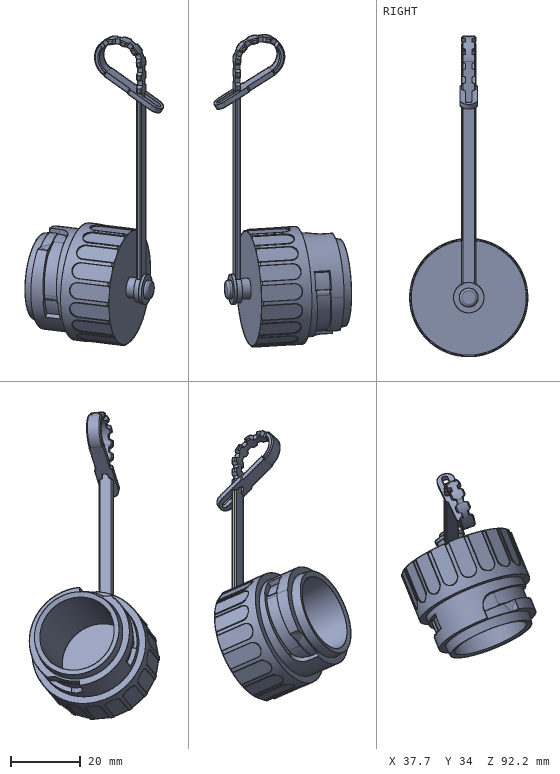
import cadquery as cq
import math

OVERLAP = 1.8

LIP_END = 2.8
BODY_END = 12.7
GRIP_END = 27.5
LIP_MOUTH_DIA = 25.3
LIP_DIA = 26.0
BODY_DIA = 30.0
GRIP_DIA = 34.0
BORE_DIA = 22.2
MOUTH_BEVEL_DEPTH = 0.4
BORE_DEPTH = 24.0
GRIP_CHAMFER = 0.5

FLUTE_COUNT = 18
FLUTE_WIDTH = 4.7
FLUTE_START = 15.4
FLUTE_DEPTH = 0.5

TRACK_COUNT = 2
TRACK_FLOOR_RADIUS = 13.5
TRACK_WIDTH = 4.15
TRACK_PITCH = 5.5
TRACK_TOP_ANGLE = 90.0
TRACK_TOP_X = 7.3
TRACK_CORNER_LENGTH = 4.2
HUMP_RADIUS = 14.0
HUMP_RISE_ANGLE = 70.0
HUMP_ROOT = 0.55
HUMP_TOP_Z = -0.55
HUMP_BOTTOM_Z = -2.0
POCKET_FRONT_X = 6.5
POCKET_BACK_X = 11.1
POCKET_END_ANGLE = -30.3

ENTRY_END = 5.8
ENTRY_WIDTH = 9.6
ENTRY_FLOOR_RADIUS = 13.65
RAMP_RISE = 0.5

CUT_RADIUS = BODY_DIA / 2 + OVERLAP
HUMP_FOOT_ANGLE = math.degrees(math.asin(HUMP_BOTTOM_Z / TRACK_FLOOR_RADIUS))

PIN_DIA = 6.0
HEAD_DIA = 5.4
HEAD_END = 34.2
HEAD_ROUNDING = 0.7

STRAP_INNER_X = 30.25
STRAP_THICKNESS = 1.6
STRAP_OUTER_X = STRAP_INNER_X + STRAP_THICKNESS
STRAP_WIDTH = 4.15
STRAP_EDGE = 0.4
EYE_DIA = 8.0
COLLAR_DIA = 8.8
COLLAR_THICKNESS = 0.9

TOTAL_HEIGHT = 92.2
TOP_Z = TOTAL_HEIGHT - GRIP_DIA / 2
BIG_ARC_RADIUS = 7.3
SMALL_ARC_RADIUS = 6.1
LOOP_FLAT = 1.2
BIG_ARC_X = STRAP_OUTER_X - BIG_ARC_RADIUS
BIG_ARC_Z = TOP_Z - BIG_ARC_RADIUS
SMALL_ARC_X = BIG_ARC_X - LOOP_FLAT
SMALL_ARC_Z = TOP_Z - SMALL_ARC_RADIUS

TAIL_ANGLE = 30.0
TAIL_TIP_X = 37.7
TAIL_WIDTH = 5.2
TAIL_WIDE_START_X = 27.85
TAIL_SLOT_WIDTH = 1.8
TAIL_SLOT_START_X = 29.5
TAIL_SLOT_END_X = 36.5

NECK_WIDTH = 1.8
NOTCH_PITCH = 4.0
NOTCH_LENGTH = 2.7
NOTCH_FLANK = 0.6
FIRST_NOTCH_Z = 58.65
NOTCH_COUNT = 7


def x_cylinder(x_start, x_end, diameter):
    return cq.Workplane("YZ", origin=(x_start, 0, 0)).circle(diameter / 2).extrude(x_end - x_start)


def turn_about_x(solid, index, count):
    return solid.rotate((0, 0, 0), (1, 0, 0), index * 360 / count)


def make_cap():
    half_section = [
        (0, 0),
        (0, LIP_MOUTH_DIA / 2),
        (LIP_END, LIP_DIA / 2),
        (LIP_END, BODY_DIA / 2),
        (BODY_END, BODY_DIA / 2),
        (BODY_END, GRIP_DIA / 2),
        (GRIP_END - GRIP_CHAMFER, GRIP_DIA / 2),
        (GRIP_END, GRIP_DIA / 2 - GRIP_CHAMFER),
        (GRIP_END, 0),
    ]
    cap = cq.Workplane("XY").polyline(half_section).close().revolve(360, (0, 0, 0), (1, 0, 0))
    half_bore = [
        (0, 0),
        (0, LIP_MOUTH_DIA / 2),
        (MOUTH_BEVEL_DEPTH, BORE_DIA / 2),
        (BORE_DEPTH, BORE_DIA / 2),
        (BORE_DEPTH, 0),
    ]
    return cap.cut(cq.Workplane("XY").polyline(half_bore).close().revolve(360, (0, 0, 0), (1, 0, 0)))


def make_flute():
    end_radius = FLUTE_WIDTH / 2
    floor_z = GRIP_DIA / 2 - FLUTE_DEPTH
    return (
        cq.Workplane("XY", origin=(0, 0, floor_z))
        .moveTo(GRIP_END + OVERLAP, end_radius)
        .lineTo(FLUTE_START + end_radius, end_radius)
        .threePointArc((FLUTE_START, 0), (FLUTE_START + end_radius, -end_radius))
        .lineTo(GRIP_END + OVERLAP, -end_radius)
        .close()
        .extrude(OVERLAP)
    )


def make_helix_run():
    """Cutter for the sloping channel, from the top of the cap down the -Y side to the hump."""
    sweep_angle = TRACK_TOP_ANGLE - HUMP_FOOT_ANGLE
    rise = TRACK_PITCH * sweep_angle / 360
    helix = cq.Wire.makeHelix(TRACK_PITCH, rise, TRACK_FLOOR_RADIUS)
    run = (
        cq.Workplane("XZ")
        .center((TRACK_FLOOR_RADIUS + CUT_RADIUS) / 2, 0)
        .rect(CUT_RADIUS - TRACK_FLOOR_RADIUS, TRACK_WIDTH)
        .sweep(cq.Workplane(helix), isFrenet=True)
    )
    run = run.rotate((0, 0, 0), (0, 1, 0), 90)
    run = run.rotate((0, 0, 0), (1, 0, 0), 270 - TRACK_TOP_ANGLE)
    return run.translate((TRACK_TOP_X, 0, 0))


def make_corner():
    """Material kept beyond the rounded corner where the mouth turns into the channel."""
    corner_angle = math.degrees(math.asin(TRACK_CORNER_LENGTH / (BODY_DIA / 2)))
    corner_rise = TRACK_PITCH * corner_angle / 360
    corner_x = TRACK_TOP_X + corner_rise + TRACK_WIDTH / 2
    mid_x = ENTRY_END + (corner_x - ENTRY_END) * math.sqrt(0.5)
    mid_y = -TRACK_CORNER_LENGTH * (1 - math.sqrt(0.5))
    return (
        cq.Workplane("XY")
        .moveTo(ENTRY_END, 0)
        .threePointArc((mid_x, mid_y), (corner_x, -TRACK_CORNER_LENGTH))
        .lineTo(BODY_END, -TRACK_CORNER_LENGTH)
        .lineTo(BODY_END, OVERLAP)
        .lineTo(0, OVERLAP)
        .lineTo(0, 0)
        .close()
        .extrude(GRIP_DIA / 2)
    )


def make_entry():
    """Cutter for the mouth: a round floor with a flat ramp rising towards the channel."""
    side_z = math.sqrt((BODY_DIA / 2) ** 2 - ENTRY_WIDTH**2)
    mouth = cq.Workplane("XY", origin=(LIP_END, -ENTRY_WIDTH, side_z)).box(
        ENTRY_END - LIP_END, ENTRY_WIDTH, GRIP_DIA / 2 - side_z, centered=False
    )
    ramp_low = [
        (0, 0),
        (0, ENTRY_FLOOR_RADIUS - RAMP_RISE),
        (-ENTRY_WIDTH, side_z - RAMP_RISE),
        (-ENTRY_WIDTH, 0),
    ]
    ramp_high = [(0, 0), (0, ENTRY_FLOOR_RADIUS), (-ENTRY_WIDTH, side_z), (-ENTRY_WIDTH, 0)]
    ramp = (
        cq.Workplane("YZ", origin=(LIP_END, 0, 0))
        .polyline(ramp_low)
        .close()
        .workplane(offset=ENTRY_END - LIP_END)
        .polyline(ramp_high)
        .close()
        .loft(ruled=True)
    )
    return mouth.cut(x_cylinder(0, BODY_END, 2 * ENTRY_FLOOR_RADIUS)).cut(ramp)


def make_pocket():
    """Cutter for the straight-sided pocket between the hump and the end of the track."""
    ring_part = (
        cq.Workplane("XY")
        .moveTo(POCKET_FRONT_X, -TRACK_FLOOR_RADIUS)
        .lineTo(POCKET_FRONT_X, -CUT_RADIUS)
        .lineTo(POCKET_BACK_X, -CUT_RADIUS)
        .lineTo(POCKET_BACK_X, -TRACK_FLOOR_RADIUS)
        .close()
        .revolve(HUMP_FOOT_ANGLE - POCKET_END_ANGLE, (0, 0, 0), (1, 0, 0))
    )
    return ring_part.rotate((0, 0, 0), (1, 0, 0), -HUMP_FOOT_ANGLE)


def side_point(radius, angle):
    """(y, z) at an angle measured up from the -Y side."""
    turn = math.radians(angle)
    return (-radius * math.cos(turn), radius * math.sin(turn))


def make_hump():
    """Floor that climbs slowly along the channel and rolls off into the pocket."""
    mid_radius = (TRACK_FLOOR_RADIUS + HUMP_RADIUS) / 2
    root_radius = TRACK_FLOOR_RADIUS - HUMP_ROOT
    crest = (-HUMP_RADIUS, HUMP_TOP_Z)
    foot = (-TRACK_FLOOR_RADIUS, HUMP_BOTTOM_Z)
    roll_middle = (
        crest[0] + (foot[0] - crest[0]) * (1 - math.sqrt(0.5)),
        crest[1] + (foot[1] - crest[1]) * math.sqrt(0.5),
    )
    return (
        cq.Workplane("YZ", origin=(ENTRY_END, 0, 0))
        .moveTo(*side_point(TRACK_FLOOR_RADIUS, HUMP_RISE_ANGLE))
        .threePointArc(side_point(mid_radius, HUMP_RISE_ANGLE / 2), crest)
        .threePointArc(roll_middle, foot)
        .lineTo(-root_radius, HUMP_BOTTOM_Z)
        .threePointArc(
            side_point(root_radius, HUMP_RISE_ANGLE / 2),
            side_point(root_radius, HUMP_RISE_ANGLE),
        )
        .close()
        .extrude(BODY_END - ENTRY_END)
    )


def make_pin():
    shaft = x_cylinder(GRIP_END - OVERLAP, STRAP_INNER_X + STRAP_THICKNESS / 2, PIN_DIA)
    head = x_cylinder(STRAP_INNER_X, HEAD_END, HEAD_DIA).faces(">X").edges().fillet(HEAD_ROUNDING)
    return shaft.union(head)


def make_eye():
    eye = x_cylinder(STRAP_INNER_X, STRAP_OUTER_X, EYE_DIA)
    return eye.union(x_cylinder(STRAP_OUTER_X, STRAP_OUTER_X + COLLAR_THICKNESS, COLLAR_DIA))


def arc_point(center_x, center_z, radius, angle):
    turn = math.radians(angle)
    return (center_x + radius * math.cos(turn), center_z + radius * math.sin(turn))


def extrude_both_ways(profile, width):
    return profile.extrude(width / 2, both=True)


TAIL_NORMAL_ANGLE = 270 - TAIL_ANGLE
TAIL_TOP = arc_point(
    SMALL_ARC_X, SMALL_ARC_Z, SMALL_ARC_RADIUS - STRAP_THICKNESS / 2, TAIL_NORMAL_ANGLE
)


def tail_length_to(x):
    """Distance along the tail from where it leaves the loop to the given x."""
    return (x - TAIL_TOP[0]) / math.cos(math.radians(TAIL_ANGLE))


def tail_plane():
    """Plane along the middle of the tail: local x runs to the tip, local y across."""
    slope = math.radians(TAIL_ANGLE)
    return cq.Plane(
        origin=(TAIL_TOP[0], 0, TAIL_TOP[1]),
        xDir=(math.cos(slope), 0, -math.sin(slope)),
        normal=(math.sin(slope), 0, math.cos(slope)),
    )


def make_band():
    """Straight strap and loop, up to where the tail begins."""
    small_inner = SMALL_ARC_RADIUS - STRAP_THICKNESS
    big_inner = BIG_ARC_RADIUS - STRAP_THICKNESS
    side_angle = (90 + TAIL_NORMAL_ANGLE) / 2
    profile = (
        cq.Workplane("XZ")
        .moveTo(STRAP_INNER_X, 0)
        .lineTo(STRAP_OUTER_X, 0)
        .lineTo(STRAP_OUTER_X, BIG_ARC_Z)
        .threePointArc(arc_point(BIG_ARC_X, BIG_ARC_Z, BIG_ARC_RADIUS, 45), (BIG_ARC_X, TOP_Z))
        .lineTo(SMALL_ARC_X, TOP_Z)
        .threePointArc(
            arc_point(SMALL_ARC_X, SMALL_ARC_Z, SMALL_ARC_RADIUS, side_angle),
            arc_point(SMALL_ARC_X, SMALL_ARC_Z, SMALL_ARC_RADIUS, TAIL_NORMAL_ANGLE),
        )
        .lineTo(*arc_point(SMALL_ARC_X, SMALL_ARC_Z, small_inner, TAIL_NORMAL_ANGLE))
        .threePointArc(
            arc_point(SMALL_ARC_X, SMALL_ARC_Z, small_inner, side_angle),
            (SMALL_ARC_X, TOP_Z - STRAP_THICKNESS),
        )
        .lineTo(BIG_ARC_X, TOP_Z - STRAP_THICKNESS)
        .threePointArc(arc_point(BIG_ARC_X, BIG_ARC_Z, big_inner, 45), (STRAP_INNER_X, BIG_ARC_Z))
        .close()
    )
    band = extrude_both_ways(profile, STRAP_WIDTH)
    return band.faces("<Y or >Y").edges().chamfer(STRAP_EDGE)


def make_tail():
    """Flat tail; its upper end corner is the point that reaches TAIL_TIP_X."""
    slope = math.radians(TAIL_ANGLE)
    tip = tail_length_to(TAIL_TIP_X - STRAP_THICKNESS / 2 * math.sin(slope))
    wide_start = tail_length_to(TAIL_WIDE_START_X)
    half_wide = TAIL_WIDTH / 2
    half_strap = STRAP_WIDTH / 2
    flare = half_wide - half_strap
    outline = (
        cq.Workplane(tail_plane())
        .moveTo(0, half_strap)
        .lineTo(wide_start, half_strap)
        .lineTo(wide_start + flare, half_wide)
        .lineTo(tip - half_wide, half_wide)
        .threePointArc((tip, 0), (tip - half_wide, -half_wide))
        .lineTo(wide_start + flare, -half_wide)
        .lineTo(wide_start, -half_strap)
        .lineTo(0, -half_strap)
        .close()
    )
    return extrude_both_ways(outline, STRAP_THICKNESS)


def make_tail_slot():
    start = tail_length_to(TAIL_SLOT_START_X)
    end = tail_length_to(TAIL_SLOT_END_X)
    return extrude_both_ways(
        cq.Workplane(tail_plane()).center((start + end) / 2, 0).slot2D(end - start, TAIL_SLOT_WIDTH),
        2 * STRAP_THICKNESS,
    )


def loop_frame(distance):
    """Point, and outward angle, at a distance along the strap's middle measured up from z = 0."""
    mid_big = BIG_ARC_RADIUS - STRAP_THICKNESS / 2
    mid_small = SMALL_ARC_RADIUS - STRAP_THICKNESS / 2
    if distance <= BIG_ARC_Z:
        return (BIG_ARC_X + mid_big, distance), 0
    along = distance - BIG_ARC_Z
    quarter = mid_big * math.pi / 2
    if along <= quarter:
        angle = math.degrees(along / mid_big)
        return arc_point(BIG_ARC_X, BIG_ARC_Z, mid_big, angle), angle
    along -= quarter
    if along <= LOOP_FLAT:
        return (BIG_ARC_X - along, BIG_ARC_Z + mid_big), 90
    angle = 90 + math.degrees((along - LOOP_FLAT) / mid_small)
    return arc_point(SMALL_ARC_X, SMALL_ARC_Z, mid_small, angle), angle


def make_notch_pair(distance):
    """Cutter with sloping flanks for the two opposite strap edges."""
    point, angle = loop_frame(distance)
    turn = math.radians(angle)
    plane = cq.Plane(
        origin=(point[0], 0, point[1]), xDir=(0, 1, 0), normal=(math.cos(turn), 0, math.sin(turn))
    )
    half_neck = NECK_WIDTH / 2
    half_strap = STRAP_WIDTH / 2
    half_mouth = NOTCH_LENGTH / 2
    half_root = half_mouth - NOTCH_FLANK
    one_side = extrude_both_ways(
        cq.Workplane(plane).polyline(
            [
                (half_neck, -half_root),
                (half_strap, -half_mouth),
                (half_strap + OVERLAP, -half_mouth),
                (half_strap + OVERLAP, half_mouth),
                (half_strap, half_mouth),
                (half_neck, half_root),
            ]
        ).close(),
        2 * STRAP_THICKNESS,
    )
    return one_side.union(one_side.mirror("XZ"))


cap = make_cap()
for index in range(FLUTE_COUNT):
    cap = cap.cut(turn_about_x(make_flute(), index, FLUTE_COUNT))
channel = make_helix_run().cut(make_corner())
for index in range(TRACK_COUNT):
    for cutter in (channel, make_pocket(), make_entry()):
        cap = cap.cut(turn_about_x(cutter, index, TRACK_COUNT))
    cap = cap.union(turn_about_x(make_hump(), index, TRACK_COUNT))

band = make_band()
for index in range(NOTCH_COUNT):
    band = band.cut(make_notch_pair(FIRST_NOTCH_Z + index * NOTCH_PITCH))

tail = make_tail().cut(make_tail_slot())
strap = band.union(tail).union(make_eye())
result = cap.union(make_pin()).union(strap)